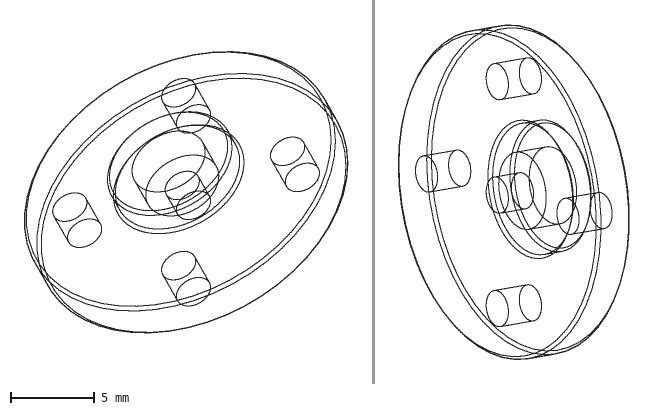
import cadquery as cq

flange_diameter = 20.0
flange_thickness = 2.5
hub_diameter = 8.0
hub_height = 1.7
edge_chamfer = 0.2
hole_diameter = 2.2
bolt_circle_radius = 7.0
bolt_count = 4
counterbore_diameter = 4.7
counterbore_depth = 2.3

total_length = flange_thickness + hub_height
flange_radius = flange_diameter / 2
hub_radius = hub_diameter / 2


def make_body():
    """Revolve the half section, with X along the axis and Y as the radius."""
    return (
        cq.Workplane("XY")
        .moveTo(0, 0)
        .lineTo(0, hub_radius - edge_chamfer)
        .lineTo(edge_chamfer, hub_radius)
        .lineTo(hub_height - edge_chamfer, hub_radius)
        .lineTo(hub_height, hub_radius + edge_chamfer)
        .lineTo(hub_height, flange_radius - edge_chamfer)
        .lineTo(hub_height + edge_chamfer, flange_radius)
        .lineTo(total_length - edge_chamfer, flange_radius)
        .lineTo(total_length, flange_radius - edge_chamfer)
        .lineTo(total_length, 0)
        .close()
        .revolve(360, (0, 0, 0), (1, 0, 0))
    )


def make_holes():
    """Centre hole, its counterbore from the hub face, and the bolt holes."""
    face = cq.Workplane("YZ")
    centre_hole = face.circle(hole_diameter / 2).extrude(total_length)
    counterbore = face.circle(counterbore_diameter / 2).extrude(counterbore_depth)
    bolt_holes = (
        face.polarArray(bolt_circle_radius, 0, 360, bolt_count)
        .circle(hole_diameter / 2)
        .extrude(total_length)
    )
    return [centre_hole, counterbore, bolt_holes]


result = make_body()
for hole in make_holes():
    result = result.cut(hole)